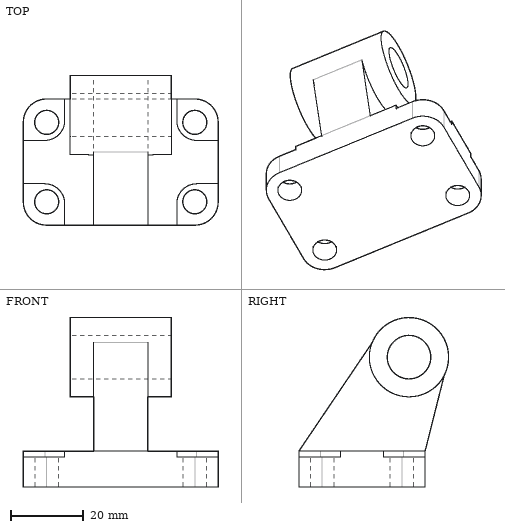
import cadquery as cq

base_length = 54
base_width = 35.0
base_height = 10.0
corner_radius = 6.5

hole_diameter = 6.6
hole_spacing_x = 41.0
hole_spacing_y = 22.0
seat_size = 11.5
seat_radius = 5.5
seat_depth = 1.6

barrel_diameter = 22.0
bore_diameter = 12.0
barrel_length = 28.0
barrel_y = 13.0
total_height = 47
barrel_z = total_height - barrel_diameter / 2

web_thickness = 15.0
web_front_rise = 4.0
web_back_drop = 5.0


def x_centred_plane(length):
    """YZ plane from which an extrusion of this length is centred on X = 0."""
    return cq.Workplane("YZ", origin=(-length / 2, 0, 0))


def barrel_half_chord(offset):
    """Half width of the barrel's circle at a height offset from its axis."""
    return ((barrel_diameter / 2) ** 2 - offset**2) ** 0.5


def make_base():
    base = (
        cq.Workplane("XY")
        .box(base_length, base_width, base_height, centered=(True, True, False))
        .edges("|Z")
        .fillet(corner_radius)
    )
    seats = (
        cq.Workplane("XY", origin=(0, 0, base_height - seat_depth))
        .rect(base_length, base_width, forConstruction=True)
        .vertices()
        .rect(2 * seat_size, 2 * seat_size)
        .extrude(seat_depth)
        .edges("|Z")
        .fillet(seat_radius)
    )
    holes = (
        cq.Workplane("XY")
        .rect(hole_spacing_x, hole_spacing_y, forConstruction=True)
        .vertices()
        .circle(hole_diameter / 2)
        .extrude(base_height)
    )
    return base.cut(seats).cut(holes)


def make_web():
    front_top = (barrel_y - barrel_half_chord(web_front_rise), barrel_z + web_front_rise)
    back_top = (barrel_y + barrel_half_chord(web_back_drop), barrel_z - web_back_drop)
    return (
        x_centred_plane(web_thickness)
        .moveTo(-base_width / 2, base_height)
        .lineTo(*front_top)
        .lineTo(barrel_y, barrel_z)
        .lineTo(*back_top)
        .lineTo(base_width / 2, base_height)
        .close()
        .extrude(web_thickness)
    )


def make_cylinder(diameter):
    """Solid cylinder on the barrel axis, as long as the barrel."""
    return (
        x_centred_plane(barrel_length)
        .center(barrel_y, barrel_z)
        .circle(diameter / 2)
        .extrude(barrel_length)
    )


result = (
    make_base()
    .union(make_web())
    .union(make_cylinder(barrel_diameter))
    .cut(make_cylinder(bore_diameter))
)